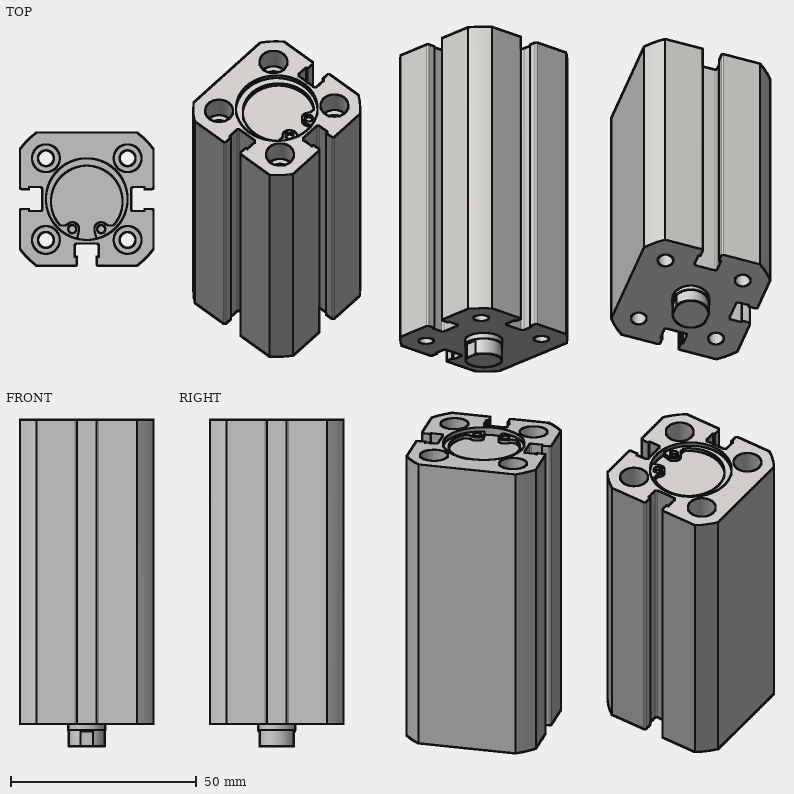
import cadquery as cq
import math

WIDTH = 36.0
HALF_WIDTH = WIDTH / 2
LENGTH = 82.0
CORNER_DIAMETER = 45.0

SLOT_MOUTH_WIDTH = 5.3
SLOT_INNER_WIDTH = 6.4
SLOT_LIP = 2.5
SLOT_DEPTH = 6.0
SLOT_MOUTH_ROUND = 0.5
SLOT_FLOOR_ROUND = 0.5
SLOT_ANGLES = (-90, 0, 180)

HOLE_PITCH = 22.0
HOLE_DIAMETER = 4.2
COUNTERBORE_DIAMETER = 7.5
COUNTERBORE_DEPTH = 7.0

BORE_RADIUS = 11.0
RING_RECESS = 1.2
RING_THICKNESS = 1.0
CAP_THICKNESS = 5.0
RING_TOP = LENGTH - RING_RECESS
CAP_TOP = RING_TOP - RING_THICKNESS
CAP_BOTTOM = CAP_TOP - CAP_THICKNESS

RING_INNER_RADIUS = 9.65
RING_INNER_OFFSET = 0.65
LUG_X = 3.9
LUG_Y = -8.1
LUG_RADIUS = 1.87
LUG_HOLE_DIAMETER = 2.2
SHOULDER_Y = -7.1
LUG_BLEND_RADIUS = 1.0
SHOULDER_ROUND = 0.7
LUG_TIP_ROUND = 0.4

ROD_RADIUS = 5.0
ROD_END_RADIUS = 4.9
COLLAR_HEIGHT = 1.6
ROD_PROTRUSION = 6.0
ROD_INSERTION = 10.0
ROD_CHAMFER = 0.1
FLAT_GAP = 9.2
FLAT_START = 1.9


def make_slot():
    """Cutter for one slot on the +X side, with the mouth edges rounded outward."""
    floor = HALF_WIDTH - SLOT_DEPTH
    lip = HALF_WIDTH - SLOT_LIP
    undercut = (
        cq.Workplane("XY")
        .box(lip - floor, SLOT_INNER_WIDTH, LENGTH, centered=(False, True, False))
        .edges("|Z and <X")
        .fillet(SLOT_FLOOR_ROUND)
        .translate((floor, 0, 0))
    )
    half_mouth = SLOT_MOUTH_WIDTH / 2
    half_flare = half_mouth + SLOT_MOUTH_ROUND
    mouth = (
        cq.Workplane("XY")
        .moveTo(lip, -half_mouth)
        .lineTo(HALF_WIDTH - SLOT_MOUTH_ROUND, -half_mouth)
        .radiusArc((HALF_WIDTH, -half_flare), SLOT_MOUTH_ROUND)
        .lineTo(HALF_WIDTH, half_flare)
        .radiusArc((HALF_WIDTH - SLOT_MOUTH_ROUND, half_mouth), SLOT_MOUTH_ROUND)
        .lineTo(lip, half_mouth)
        .close()
        .extrude(LENGTH)
    )
    return undercut.union(mouth)


def make_housing():
    """Slotted bar with mounting holes, the bore for cap and ring, and a socket for the rod."""
    body = cq.Workplane("XY").rect(WIDTH, WIDTH).extrude(LENGTH)
    body = body.intersect(cq.Workplane("XY").circle(CORNER_DIAMETER / 2).extrude(LENGTH))
    slot = make_slot()
    for angle in SLOT_ANGLES:
        body = body.cut(slot.rotate((0, 0, 0), (0, 0, 1), angle))
    body = (
        body.faces(">Z")
        .workplane(origin=(0, 0, LENGTH))
        .rect(HOLE_PITCH, HOLE_PITCH, forConstruction=True)
        .vertices()
        .cboreHole(HOLE_DIAMETER, COUNTERBORE_DIAMETER, COUNTERBORE_DEPTH)
    )
    bore = cq.Workplane("XY").workplane(offset=CAP_BOTTOM).circle(BORE_RADIUS).extrude(LENGTH - CAP_BOTTOM)
    rod_socket = cq.Workplane("XY").circle(ROD_RADIUS).extrude(ROD_INSERTION)
    return body.cut(bore).cut(rod_socket)


def make_cap():
    """Plain disc that closes the bore below the retaining ring."""
    return cq.Workplane("XY").workplane(offset=CAP_BOTTOM).circle(BORE_RADIUS).extrude(CAP_THICKNESS)


def make_ring():
    """Internal retaining ring with an eccentric inner edge and two plier lugs."""
    plane = cq.Workplane("XY").workplane(offset=CAP_TOP)
    blank = plane.circle(BORE_RADIUS).extrude(RING_THICKNESS)

    shoulder_cut = (
        plane.center(0, SHOULDER_Y)
        .rect(2 * BORE_RADIUS, 2 * BORE_RADIUS)
        .extrude(RING_THICKNESS)
        .translate((0, BORE_RADIUS, 0))
    )
    opening = (
        plane.center(0, -RING_INNER_OFFSET)
        .circle(RING_INNER_RADIUS)
        .extrude(RING_THICKNESS)
        .intersect(shoulder_cut)
        .edges("|Z and <Y")
        .fillet(SHOULDER_ROUND)
    )

    lug_distance = math.hypot(LUG_X, LUG_Y)
    gap_half_angle = math.atan2(LUG_X, -LUG_Y) - math.asin(LUG_RADIUS / lug_distance)
    tangent_length = math.sqrt(lug_distance**2 - LUG_RADIUS**2)
    tangent_x = tangent_length * math.sin(gap_half_angle)
    tangent_y = -tangent_length * math.cos(gap_half_angle)
    outer_x = BORE_RADIUS * math.tan(gap_half_angle)
    gap_side = [(LUG_X, SHOULDER_Y), (LUG_X, LUG_Y), (tangent_x, tangent_y), (outer_x, -BORE_RADIUS)]
    other_side = [(-x, y) for x, y in reversed(gap_side)]
    gap = plane.polyline(gap_side + other_side).close().extrude(RING_THICKNESS)

    lug_centers = [(-LUG_X, LUG_Y), (LUG_X, LUG_Y)]
    lug_heads = plane.pushPoints(lug_centers).circle(LUG_RADIUS).extrude(RING_THICKNESS)
    lug_holes = plane.pushPoints(lug_centers).circle(LUG_HOLE_DIAMETER / 2).extrude(RING_THICKNESS)
    ring = blank.cut(opening.union(gap).cut(lug_heads))

    corner_x = LUG_X + math.sqrt(LUG_RADIUS**2 - (SHOULDER_Y - LUG_Y) ** 2)
    tip_x = BORE_RADIUS * math.sin(gap_half_angle)
    tip_y = -BORE_RADIUS * math.cos(gap_half_angle)
    ring = round_upright_edges(ring, corner_x, SHOULDER_Y, LUG_BLEND_RADIUS)
    ring = round_upright_edges(ring, tip_x, tip_y, LUG_TIP_ROUND)
    return ring.cut(lug_holes)


def round_upright_edges(body, x, y, radius):
    """Round the vertical edges of the ring at (x, y) and at its mirror image (-x, y)."""
    middle = CAP_TOP + RING_THICKNESS / 2
    for side in (-1, 1):
        body = body.edges("|Z").edges(cq.NearestToPointSelector((side * x, y, middle))).fillet(radius)
    return body


def make_rod():
    """Rod with a short full-diameter collar and a stepped end with two wrench flats."""
    shank = (
        cq.Workplane("XY")
        .workplane(offset=-COLLAR_HEIGHT)
        .circle(ROD_RADIUS)
        .extrude(COLLAR_HEIGHT + ROD_INSERTION)
    )
    rod_end = (
        cq.Workplane("XY")
        .workplane(offset=-ROD_PROTRUSION)
        .circle(ROD_END_RADIUS)
        .extrude(ROD_PROTRUSION - COLLAR_HEIGHT)
        .faces("<Z")
        .chamfer(ROD_CHAMFER)
    )
    between_flats = (
        cq.Workplane("XY")
        .workplane(offset=-ROD_PROTRUSION)
        .rect(2 * ROD_RADIUS, FLAT_GAP)
        .extrude(ROD_PROTRUSION - FLAT_START)
    )
    above_flats = cq.Workplane("XY").workplane(offset=-FLAT_START).circle(ROD_RADIUS).extrude(FLAT_START)
    return shank.union(rod_end.intersect(between_flats.union(above_flats)))


housing = make_housing().solids()
cap = make_cap().solids()
ring = make_ring().solids()
rod = make_rod().solids()
result = cq.Compound.makeCompound([housing.val(), cap.val(), ring.val(), rod.val()])